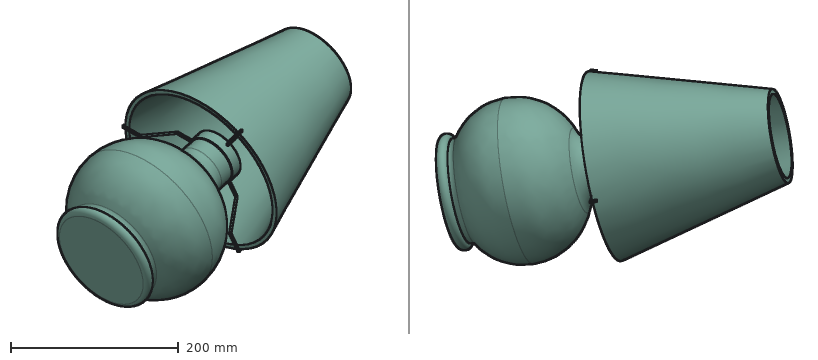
import cadquery as cq
import math

TOTAL_HEIGHT = 407.5
FULL_TURN = 360

FOOT_FLAT_RADIUS = 63.5
FOOT_HEIGHT = 14.3

WAIST_RADIUS = 63.5
BELLY_BOTTOM = 22.0
BELLY_BOTTOM_RADIUS = 66.5
BELLY_RADIUS = 100.5
BELLY_HEIGHT = 86.0
SHOULDER_ARC_RADIUS = 81.5
NECK_RADIUS = 32.0
NECK_BOTTOM = 190.0
NECK_TOP = 209.5

COLLAR_RADIUS = 33.5
COLLAR_HEIGHT = 15.5

SHADE_BOTTOM = 191.0
SHADE_BOTTOM_RADIUS = 115.0
SHADE_TOP_RADIUS = 57
SHADE_WALL = 6.0

WIRE_COUNT = 3
FIRST_WIRE_ANGLE = 180
WIRE_DIAMETER = 3.0
WIRE_HOOK_TOP = 197.0
WIRE_OUTER_BEND = 91.3
WIRE_INNER_BEND = 60.0
WIRE_RISE = 31.8


def spin(profile):
    """Revolve a half profile (radius, height) about the Y axis."""
    return profile.close().revolve(FULL_TURN, (0, 0, 0), (0, 1, 0))


def make_foot():
    rim_radius = FOOT_HEIGHT / 2
    profile = (
        cq.Workplane("XY")
        .lineTo(FOOT_FLAT_RADIUS, 0)
        .threePointArc((FOOT_FLAT_RADIUS + rim_radius, rim_radius), (FOOT_FLAT_RADIUS, FOOT_HEIGHT))
        .lineTo(0, FOOT_HEIGHT)
    )
    return spin(profile)


def make_vase():
    shoulder_center = BELLY_RADIUS - SHOULDER_ARC_RADIUS
    rise = NECK_BOTTOM - BELLY_HEIGHT
    offset = NECK_RADIUS - shoulder_center
    hollow_radius = (offset**2 + rise**2 - SHOULDER_ARC_RADIUS**2) / (2 * (SHOULDER_ARC_RADIUS - offset))
    shoulder_angle = math.atan2(rise, offset + hollow_radius)
    shoulder_end = (
        shoulder_center + SHOULDER_ARC_RADIUS * math.cos(shoulder_angle),
        BELLY_HEIGHT + SHOULDER_ARC_RADIUS * math.sin(shoulder_angle),
    )
    shoulder_middle = (
        shoulder_center + SHOULDER_ARC_RADIUS * math.cos(shoulder_angle / 2),
        BELLY_HEIGHT + SHOULDER_ARC_RADIUS * math.sin(shoulder_angle / 2),
    )

    drop = BELLY_HEIGHT - BELLY_BOTTOM
    inset = BELLY_RADIUS - BELLY_BOTTOM_RADIUS
    lower_radius = (drop**2 + inset**2) / (2 * inset)
    lower_center = BELLY_RADIUS - lower_radius
    lower_angle = math.asin(drop / lower_radius)
    lower_middle = (
        lower_center + lower_radius * math.cos(lower_angle / 2),
        BELLY_HEIGHT - lower_radius * math.sin(lower_angle / 2),
    )

    waist_rise = BELLY_BOTTOM - FOOT_HEIGHT
    flare = BELLY_BOTTOM_RADIUS - WAIST_RADIUS
    waist_arc_radius = (waist_rise**2 + flare**2) / (2 * flare)
    waist_angle = math.asin(waist_rise / waist_arc_radius)
    waist_middle = (
        WAIST_RADIUS + waist_arc_radius * (1 - math.cos(waist_angle / 2)),
        FOOT_HEIGHT + waist_arc_radius * math.sin(waist_angle / 2),
    )

    profile = (
        cq.Workplane("XY")
        .moveTo(0, FOOT_HEIGHT)
        .lineTo(WAIST_RADIUS, FOOT_HEIGHT)
        .threePointArc(waist_middle, (BELLY_BOTTOM_RADIUS, BELLY_BOTTOM))
        .threePointArc(lower_middle, (BELLY_RADIUS, BELLY_HEIGHT))
        .threePointArc(shoulder_middle, shoulder_end)
        .tangentArcPoint((NECK_RADIUS, NECK_BOTTOM), relative=False)
        .lineTo(NECK_RADIUS, NECK_TOP)
        .lineTo(0, NECK_TOP)
    )
    return spin(profile)


def make_collar():
    top = NECK_TOP + COLLAR_HEIGHT
    profile = (
        cq.Workplane("XY")
        .moveTo(0, NECK_TOP)
        .lineTo(COLLAR_RADIUS, NECK_TOP)
        .lineTo(COLLAR_RADIUS, top)
        .lineTo(0, top)
    )
    return spin(profile)


def make_shade():
    profile = (
        cq.Workplane("XY")
        .moveTo(SHADE_BOTTOM_RADIUS - SHADE_WALL, SHADE_BOTTOM)
        .lineTo(SHADE_BOTTOM_RADIUS, SHADE_BOTTOM)
        .lineTo(SHADE_TOP_RADIUS, TOTAL_HEIGHT)
        .lineTo(SHADE_TOP_RADIUS - SHADE_WALL, TOTAL_HEIGHT)
    )
    return spin(profile)


def make_wire(angle):
    """A wire that runs out along +X, turned about the Y axis by angle."""
    wire_radius = WIRE_DIAMETER / 2
    arm_height = SHADE_BOTTOM - wire_radius

    lean = (SHADE_BOTTOM_RADIUS - SHADE_TOP_RADIUS) / (TOTAL_HEIGHT - SHADE_BOTTOM)
    clearance = wire_radius * math.hypot(1, lean)

    def hook_x(height):
        return SHADE_BOTTOM_RADIUS + clearance - lean * (height - SHADE_BOTTOM)

    path = (
        cq.Workplane("XY")
        .moveTo(0, arm_height + WIRE_RISE)
        .lineTo(WIRE_INNER_BEND, arm_height + WIRE_RISE)
        .lineTo(WIRE_OUTER_BEND, arm_height)
        .lineTo(hook_x(arm_height), arm_height)
        .lineTo(hook_x(WIRE_HOOK_TOP), WIRE_HOOK_TOP)
    )
    wire = (
        cq.Workplane("YZ", origin=(0, arm_height + WIRE_RISE, 0))
        .circle(wire_radius)
        .sweep(path, transition="round")
    )
    return wire.cut(make_collar()).rotate((0, 0, 0), (0, 1, 0), angle)


foot = make_foot()
vase = make_vase()
collar = make_collar()
shade = make_shade()
wires = [make_wire(FIRST_WIRE_ANGLE + i * FULL_TURN / WIRE_COUNT) for i in range(WIRE_COUNT)]

result = cq.Compound.makeCompound(
    [foot.val(), vase.val(), collar.val(), shade.val(), *[wire.val() for wire in wires]]
)